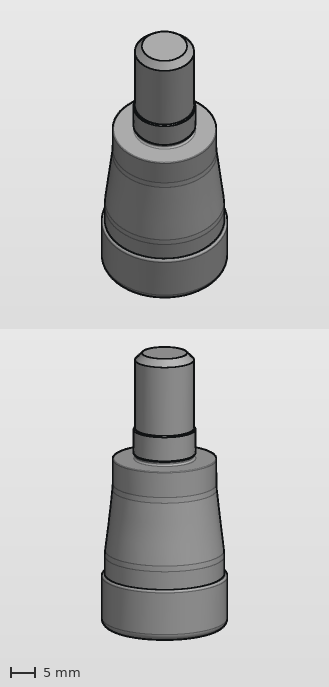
import cadquery as cq

TOTAL_HEIGHT = 57.0

CAP_RADIUS = 12.7
CAP_HEIGHT = 10.8
CAP_BOTTOM_FILLET = 1.6
CAP_TOP_FILLET = 0.45

GRIP_LOWER_RADIUS = 12.1
GRIP_UPPER_RADIUS = 10.5
TAPER_BOTTOM_Z = 15.15
TAPER_TOP_Z = 29.05
TAPER_BLEND_RADIUS = 10.25
SHOULDER_Z = 35.0
SHOULDER_FILLET = 0.15

NECK_RADIUS = 5.85
NECK_FOOT_FILLET = 0.4
COLLAR_RADIUS = 6.25
COLLAR_BOTTOM_Z = 35.8
COLLAR_TOP_Z = 41.25
COLLAR_CHAMFER = 0.255
SHANK_RADIUS = 6.0
TIP_CHAMFER = 1.4


def make_cap():
    """Disc with a broad bottom rounding and a small rounding on its top rim."""
    cap = cq.Workplane("XY").circle(CAP_RADIUS).extrude(CAP_HEIGHT)
    cap = cap.faces("<Z").edges().fillet(CAP_BOTTOM_FILLET)
    return cap.faces(">Z").edges().fillet(CAP_TOP_FILLET)


def make_grip():
    """Turned grip whose taper blends smoothly into the straight ends."""
    grip = (
        cq.Workplane("XZ")
        .moveTo(0, CAP_HEIGHT)
        .lineTo(GRIP_LOWER_RADIUS, CAP_HEIGHT)
        .lineTo(GRIP_LOWER_RADIUS, TAPER_BOTTOM_Z)
        .lineTo(GRIP_UPPER_RADIUS, TAPER_TOP_Z)
        .lineTo(GRIP_UPPER_RADIUS, SHOULDER_Z)
        .lineTo(0, SHOULDER_Z)
        .close()
        .revolve(360, (0, 0), (0, 1))
    )
    grip = grip.faces(">Z").edges().fillet(SHOULDER_FILLET)
    return grip.faces("%CONE").edges("%CIRCLE").fillet(TAPER_BLEND_RADIUS)


def make_stud():
    """Turned stud: filleted neck, collar chamfered at both ends, shank with a chamfered tip."""
    collar_rim_radius = COLLAR_RADIUS - COLLAR_CHAMFER
    neck_head_fillet = collar_rim_radius - NECK_RADIUS
    return (
        cq.Workplane("XZ")
        .moveTo(0, SHOULDER_Z)
        .lineTo(NECK_RADIUS + NECK_FOOT_FILLET, SHOULDER_Z)
        .radiusArc((NECK_RADIUS, SHOULDER_Z + NECK_FOOT_FILLET), NECK_FOOT_FILLET)
        .lineTo(NECK_RADIUS, COLLAR_BOTTOM_Z - neck_head_fillet)
        .radiusArc((collar_rim_radius, COLLAR_BOTTOM_Z), neck_head_fillet)
        .lineTo(COLLAR_RADIUS, COLLAR_BOTTOM_Z + COLLAR_CHAMFER)
        .lineTo(COLLAR_RADIUS, COLLAR_TOP_Z - COLLAR_CHAMFER)
        .lineTo(collar_rim_radius, COLLAR_TOP_Z)
        .lineTo(SHANK_RADIUS, COLLAR_TOP_Z)
        .lineTo(SHANK_RADIUS, TOTAL_HEIGHT - TIP_CHAMFER)
        .lineTo(SHANK_RADIUS - TIP_CHAMFER, TOTAL_HEIGHT)
        .lineTo(0, TOTAL_HEIGHT)
        .close()
        .revolve(360, (0, 0), (0, 1))
    )


def make_handle():
    """Grip and stud, turned as one piece."""
    return make_grip().union(make_stud())


cap = make_cap()
handle = make_handle()
result = cq.Compound.makeCompound([cap.val(), handle.val()])